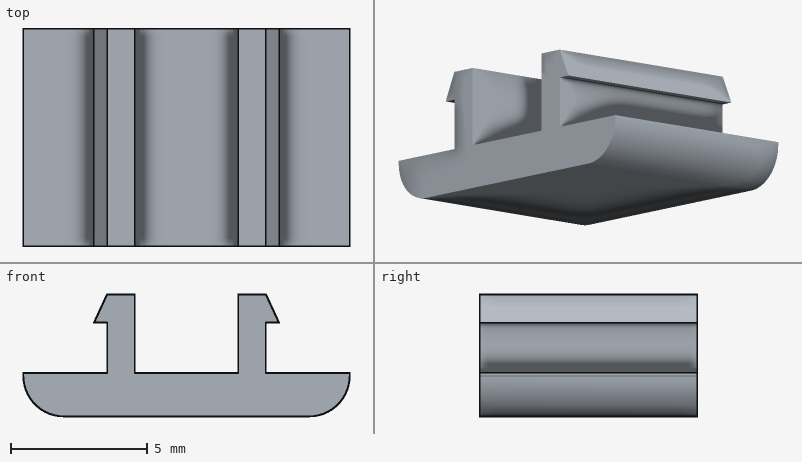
import cadquery as cq

base_width = 12.0
length = 8.0
base_thickness = 1.6
edge_radius = 1.5

total_height = 4.49
leg_gap = 3.8
leg_thickness = 1.02
barb_overhang = 0.48
barb_height = 1.04


def extrude_along_length(profile):
    """Extrude an XZ profile so that it is centred on Y = 0."""
    return profile.extrude(length / 2, both=True)


def make_base():
    """Flat plate with its two lower long edges rounded."""
    plate = cq.Workplane("XZ").rect(base_width, base_thickness)
    plate = extrude_along_length(plate).translate((0, 0, base_thickness / 2))
    return plate.faces("<Z").edges("|Y").fillet(edge_radius)


def make_leg(side):
    """Leg with an outward barb; side is +1 or -1 along X."""
    inner_x = side * leg_gap / 2
    outer_x = side * (leg_gap / 2 + leg_thickness)
    barb_tip_x = outer_x + side * barb_overhang
    barb_bottom_z = total_height - barb_height
    leg_root_z = base_thickness / 2
    profile = (
        cq.Workplane("XZ")
        .moveTo(inner_x, leg_root_z)
        .lineTo(inner_x, total_height)
        .lineTo(outer_x, total_height)
        .lineTo(barb_tip_x, barb_bottom_z)
        .lineTo(outer_x, barb_bottom_z)
        .lineTo(outer_x, leg_root_z)
        .close()
    )
    return extrude_along_length(profile)


result = make_base()
for side in (-1, 1):
    result = result.union(make_leg(side))